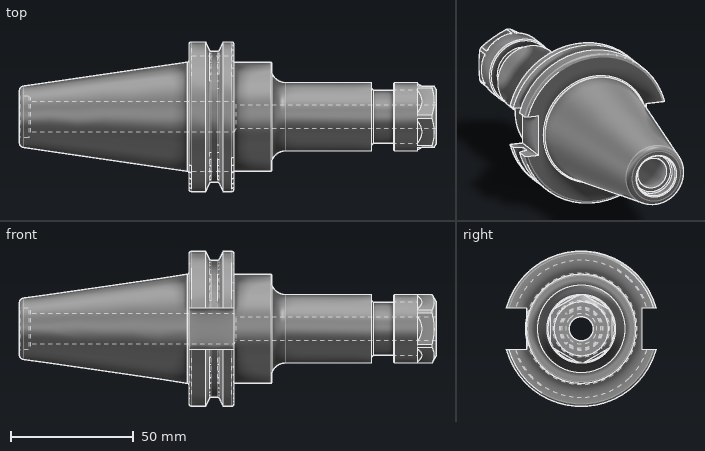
import cadquery as cq
import math

LENGTH = 169.8

GAUGE_DIAMETER = 44.5
GAUGE_X = 68.1
TAPER_HALF_ANGLE = math.atan(7 / 48)
NOSE_ROUND = 2.0

FLANGE_DIAMETER = 63.4
FLANGE_START = 69.1
FLANGE_END = 87.5
FLANGE_ROUND = 1.0
FLANGE_ROOT_CHAMFER = 0.5
GROOVE_CENTER = 79.5
GROOVE_RIM_WIDTH = 7.1
GROOVE_FLOOR_DIAMETER = 56.0
GROOVE_WALL_ANGLE = math.radians(26)
GROOVE_ROUND = 0.7

SLOT_WIDTH = 16.8
SLOT_FLOOR_PLUS_Y = 24.8
SLOT_FLOOR_MINUS_Y = GAUGE_DIAMETER / 2

COLLAR_END = 103.0
COLLAR_ROUND = 0.5
SHANK_DIAMETER = 28.0
COVE_END = 108.4
COVE_RADIUS = 5.8
SHANK_END = 143.5
NECK_DIAMETER = 21.7
NECK_ROOT_CHAMFER = 0.7

MOUTH_DIAMETER = 17.7
COUNTERBORE_DIAMETER = 16.8
COUNTERBORE_DEPTH = 4.6
COUNTERBORE_FLOOR_DIAMETER = 15.8
COUNTERBORE_FLOOR_CHAMFER = 0.7
PILOT_DIAMETER = 12.5
PILOT_END = FLANGE_END
PILOT_CONE_ANGLE = math.radians(60)
THROUGH_DIAMETER = 9.7

NUT_START = 152.4
NUT_CHAMFER = 0.5
NUT_DIAMETER = SHANK_DIAMETER
HEX_START = 162.2
HEX_ACROSS_FLATS = 25.0
HEX_SHOULDER_DIAMETER = 27.0
HEX_SHOULDER_ANGLE = math.radians(30)
NUT_FACE_DIAMETER = 22.0
NUT_FACE_CHAMFER_ANGLE = math.radians(60)

SEAT_END = HEX_START


def revolve_about_x(profile):
    """Turn a closed (x, radius) outline one full revolution about the X axis."""
    return profile.close().revolve(360, (0, 0, 0), (1, 0, 0))


def cylinder_along_x(start, end, diameter):
    return cq.Workplane("YZ", origin=(start, 0, 0)).circle(diameter / 2).extrude(end - start)


def round_corner(profile, center, radius, start_angle, end_angle):
    """Add an arc about center, from the current point at start_angle to end_angle."""
    middle_angle = (start_angle + end_angle) / 2
    middle, end = [
        (center[0] + radius * math.cos(angle), center[1] + radius * math.sin(angle))
        for angle in (middle_angle, end_angle)
    ]
    return profile.threePointArc(middle, end)


def holder_outside():
    gauge_radius = GAUGE_DIAMETER / 2
    flange_radius = FLANGE_DIAMETER / 2
    shank_radius = SHANK_DIAMETER / 2
    neck_radius = NECK_DIAMETER / 2

    apex_radius = gauge_radius - GAUGE_X * math.tan(TAPER_HALF_ANGLE)
    nose_center_radius = (
        apex_radius
        + NOSE_ROUND * math.tan(TAPER_HALF_ANGLE)
        - NOSE_ROUND / math.cos(TAPER_HALF_ANGLE)
    )
    nose_tangent_angle = math.pi / 2 + TAPER_HALF_ANGLE

    profile = cq.Workplane("XY").moveTo(0, 0).lineTo(0, nose_center_radius)
    profile = round_corner(
        profile, (NOSE_ROUND, nose_center_radius), NOSE_ROUND, math.pi, nose_tangent_angle
    )
    profile = (
        profile.lineTo(GAUGE_X, gauge_radius)
        .lineTo(FLANGE_START - FLANGE_ROOT_CHAMFER, gauge_radius)
        .lineTo(FLANGE_START, gauge_radius + FLANGE_ROOT_CHAMFER)
    )

    rim_round_radius = flange_radius - FLANGE_ROUND
    profile = profile.lineTo(FLANGE_START, rim_round_radius)
    front_center = (FLANGE_START + FLANGE_ROUND, rim_round_radius)
    profile = round_corner(profile, front_center, FLANGE_ROUND, math.pi, math.pi / 2)
    back_center = (FLANGE_END - FLANGE_ROUND, rim_round_radius)
    profile = profile.lineTo(back_center[0], flange_radius)
    profile = round_corner(profile, back_center, FLANGE_ROUND, math.pi / 2, 0)
    profile = profile.lineTo(FLANGE_END, gauge_radius)

    collar_round_center = (COLLAR_END - COLLAR_ROUND, gauge_radius - COLLAR_ROUND)
    profile = profile.lineTo(collar_round_center[0], gauge_radius)
    profile = round_corner(profile, collar_round_center, COLLAR_ROUND, math.pi / 2, 0)
    cove_center = (COVE_END, shank_radius + COVE_RADIUS)
    cove_start_angle = math.pi + math.acos((COVE_END - COLLAR_END) / COVE_RADIUS)
    cove_start_radius = cove_center[1] + COVE_RADIUS * math.sin(cove_start_angle)
    profile = profile.lineTo(COLLAR_END, cove_start_radius)
    profile = round_corner(profile, cove_center, COVE_RADIUS, cove_start_angle, 3 * math.pi / 2)
    profile = (
        profile.lineTo(SHANK_END, shank_radius)
        .lineTo(SHANK_END, neck_radius + NECK_ROOT_CHAMFER)
        .lineTo(SHANK_END + NECK_ROOT_CHAMFER, neck_radius)
        .lineTo(SEAT_END, neck_radius)
        .lineTo(SEAT_END, 0)
    )
    return revolve_about_x(profile)


def flange_groove():
    """V-groove whose floor is rounded into both walls."""
    floor_radius = GROOVE_FLOOR_DIAMETER / 2
    rim_radius = FLANGE_DIAMETER / 2
    half_rim = GROOVE_RIM_WIDTH / 2
    half_floor = half_rim - (rim_radius - floor_radius) * math.tan(GROOVE_WALL_ANGLE)
    turn = math.pi / 2 - GROOVE_WALL_ANGLE
    round_offset = half_floor - GROOVE_ROUND * math.tan(turn / 2)
    left_center = (GROOVE_CENTER - round_offset, floor_radius + GROOVE_ROUND)
    right_center = (GROOVE_CENTER + round_offset, floor_radius + GROOVE_ROUND)
    down = -math.pi / 2

    profile = (
        cq.Workplane("XY")
        .moveTo(GROOVE_CENTER + half_rim, rim_radius)
        .lineTo(GROOVE_CENTER - half_rim, rim_radius)
        .lineTo(
            left_center[0] - GROOVE_ROUND * math.sin(turn),
            left_center[1] - GROOVE_ROUND * math.cos(turn),
        )
    )
    profile = round_corner(profile, left_center, GROOVE_ROUND, down - turn, down)
    profile = profile.lineTo(right_center[0], floor_radius)
    profile = round_corner(profile, right_center, GROOVE_ROUND, down, down + turn)
    return revolve_about_x(profile)


def driving_slot(side, floor):
    """Slot through the flange rim on the +Y (side = 1) or -Y (side = -1) side."""
    depth = FLANGE_DIAMETER / 2 - floor
    return cq.Workplane("XY").box(
        FLANGE_END - FLANGE_START, depth, SLOT_WIDTH, centered=(False, True, True)
    ).translate((FLANGE_START, side * (floor + depth / 2), 0))


def holder_bore():
    mouth_chamfer = (MOUTH_DIAMETER - COUNTERBORE_DIAMETER) / 2
    pilot_step = (PILOT_DIAMETER - THROUGH_DIAMETER) / 2
    cone_end = PILOT_END + pilot_step / math.tan(PILOT_CONE_ANGLE)
    profile = cq.Workplane("XY").polyline([
        (0, 0),
        (0, MOUTH_DIAMETER / 2),
        (mouth_chamfer, COUNTERBORE_DIAMETER / 2),
        (COUNTERBORE_DEPTH - COUNTERBORE_FLOOR_CHAMFER, COUNTERBORE_DIAMETER / 2),
        (COUNTERBORE_DEPTH, COUNTERBORE_FLOOR_DIAMETER / 2),
        (COUNTERBORE_DEPTH, PILOT_DIAMETER / 2),
        (PILOT_END, PILOT_DIAMETER / 2),
        (cone_end, THROUGH_DIAMETER / 2),
        (SEAT_END, THROUGH_DIAMETER / 2),
        (SEAT_END, 0),
    ])
    return revolve_about_x(profile)


def make_holder():
    return (
        holder_outside()
        .cut(flange_groove())
        .cut(driving_slot(1, SLOT_FLOOR_PLUS_Y))
        .cut(driving_slot(-1, SLOT_FLOOR_MINUS_Y))
        .cut(holder_bore())
    )


def nut_blank():
    """Round nut with a chamfered rear edge and a coned front edge."""
    radius = NUT_DIAMETER / 2
    face_radius = NUT_FACE_DIAMETER / 2
    face_chamfer_length = (radius - face_radius) / math.tan(NUT_FACE_CHAMFER_ANGLE)
    profile = cq.Workplane("XY").polyline([
        (NUT_START, 0),
        (NUT_START, radius - NUT_CHAMFER),
        (NUT_START + NUT_CHAMFER, radius),
        (LENGTH - face_chamfer_length, radius),
        (LENGTH, face_radius),
        (LENGTH, 0),
    ])
    return revolve_about_x(profile)


def hex_envelope():
    """Round rear part, coned shoulder and hexagon that together bound the nut."""
    rear = cylinder_along_x(NUT_START, HEX_START, NUT_DIAMETER)
    shoulder_radius = HEX_SHOULDER_DIAMETER / 2
    hex_length = LENGTH - HEX_START
    shoulder_end_radius = shoulder_radius - hex_length * math.tan(HEX_SHOULDER_ANGLE)
    shoulder = revolve_about_x(
        cq.Workplane("XY").polyline([
            (HEX_START, 0),
            (HEX_START, shoulder_radius),
            (LENGTH, shoulder_end_radius),
            (LENGTH, 0),
        ])
    )
    across_corners = HEX_ACROSS_FLATS / math.cos(math.pi / 6)
    hexagon = (
        cq.Workplane("YZ", origin=(HEX_START, 0, 0))
        .transformed(rotate=(0, 0, 90))
        .polygon(6, across_corners)
        .extrude(hex_length)
    )
    return rear.union(shoulder).union(hexagon)


def make_nut():
    nut = nut_blank().intersect(hex_envelope())
    seat_recess = cylinder_along_x(NUT_START, SEAT_END, NECK_DIAMETER)
    through_hole = cylinder_along_x(SEAT_END, LENGTH, THROUGH_DIAMETER)
    return nut.cut(seat_recess).cut(through_hole)


holder = make_holder().solids()
nut = make_nut().solids()

result = cq.Compound.makeCompound([holder.val(), nut.val()])